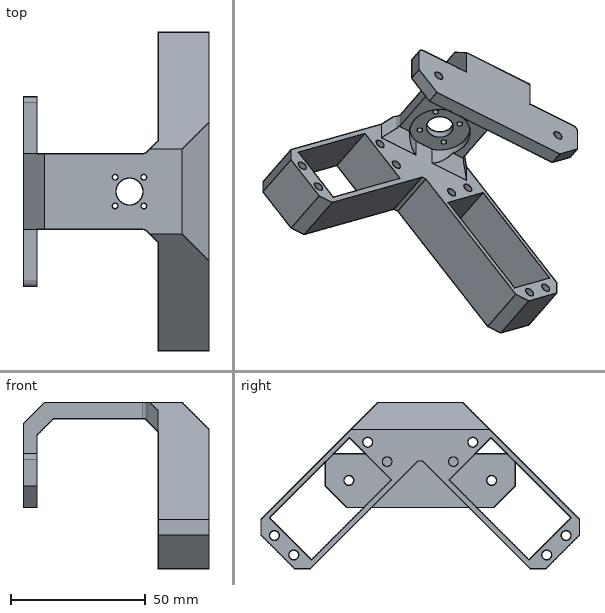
import cadquery as cq

length = 69.0
width = 118.5
height = 61.8

roof_thickness = 6.2
roof_half_width = 14.1
plate_thickness = 5.1
plate_half_width = 35.3
plate_height = 39.1
wing_top = -19.1
wing_corner_radius = 2.1
wing_chamfer = 7.9
front_bevel = 7.9
inner_bevel = 6.0
plate_hole_y = 26.5
plate_hole_z = -29.0

arm_depth = 19.0
arm_front = length - arm_depth
arm_top_half_width = 15.8
foot_outer_y = 46.7
foot_inner_y = 40.9
crotch_z = -21.8
rear_bevel = 10.1
screw_diameter = 3.5

arm_angle = 45
window_start = 28.0
window_length = 41.9
window_width = 22.0
arm_axis_d = -1.8
screw_half_pitch = 5.1
screw_rows = (24.3, 73.3)

gusset = 4.9
gusset_start = arm_front - gusset
gusset_radius = 2.4

motor_x = 39.5
motor_hole_diameter = 10.0
motor_screw_diameter = 2.0
motor_screw_offset = 5.3
motor_recess_diameter = 22.5
motor_floor = 3.1


def mirrored(points):
    """Close a +Y half outline with its mirror image in Y = 0."""
    return points + [(-y, z) for y, z in reversed(points)]


def yz_solid(points, x_start, depth):
    """Extrude a closed (y, z) outline along +X."""
    return cq.Workplane("YZ", origin=(x_start, 0, 0)).polyline(points).close().extrude(depth)


def make_arms(x_start):
    """Prism of the arm outline from x_start to the rear face."""
    half_width = width / 2
    shoulder_z = arm_top_half_width - half_width
    lower_corner_z = -height + half_width - foot_outer_y
    crotch_y = foot_inner_y - (height + crotch_z)
    outline = mirrored([
        (arm_top_half_width, 0),
        (half_width, shoulder_z),
        (half_width, lower_corner_z),
        (foot_outer_y, -height),
        (foot_inner_y, -height),
        (crotch_y, crotch_z),
    ])
    return yz_solid(outline, x_start, length - x_start)


def make_roof():
    """Bent strip: bevelled front, flat roof and bevelled underside meeting the arms."""
    profile = [
        (0, -plate_height),
        (0, -front_bevel),
        (front_bevel, 0),
        (arm_front, 0),
        (arm_front, -roof_thickness - gusset),
        (gusset_start, -roof_thickness),
        (plate_thickness + inner_bevel, -roof_thickness),
        (plate_thickness, -roof_thickness - inner_bevel),
        (plate_thickness, -plate_height),
    ]
    wide = roof_half_width + gusset
    strip = cq.Workplane("XZ", origin=(0, wide, 0)).polyline(profile).close().extrude(2 * wide)
    envelope = make_arms(gusset_start - gusset_radius).union(front_block())
    return strip.intersect(roof_plan()).intersect(envelope)


def roof_plan():
    """Plan outline of the roof, flaring at 45 degrees into the arms."""
    wide = roof_half_width + gusset
    plan = (
        cq.Workplane("XY", origin=(0, 0, -height))
        .polyline([
            (0, -roof_half_width),
            (gusset_start, -roof_half_width),
            (arm_front, -wide),
            (arm_front, wide),
            (gusset_start, roof_half_width),
            (0, roof_half_width),
        ])
        .close()
        .extrude(height)
    )
    flare_edges = cq.selectors.BoxSelector(
        (gusset_start - gusset, -wide, -height), (gusset_start + gusset / 2, wide, height)
    )
    return plan.edges("|Z").edges(flare_edges).fillet(gusset_radius)


def front_block():
    """Full-height block as wide as the roof, from the front plate to the arms."""
    return (
        cq.Workplane("XY", origin=(0, 0, -height))
        .box(arm_front, 2 * roof_half_width, height, centered=(False, True, False))
    )


def make_wings():
    """Wide lower part of the front plate with two mounting holes."""
    wings = yz_solid(
        mirrored([
            (plate_half_width, wing_top),
            (plate_half_width, wing_chamfer - plate_height),
            (plate_half_width - wing_chamfer, -plate_height),
        ]),
        0,
        plate_thickness,
    )
    top_corners = cq.selectors.BoxSelector(
        (0, -width, wing_top - wing_corner_radius), (length, width, 0)
    )
    wings = wings.edges("|X").edges(top_corners).fillet(wing_corner_radius)
    holes = (
        cq.Workplane("YZ")
        .pushPoints([(-plate_hole_y, plate_hole_z), (plate_hole_y, plate_hole_z)])
        .circle(screw_diameter / 2)
        .extrude(plate_thickness)
    )
    return wings.cut(holes)


def arm_cutouts():
    """Window and four screw holes of the +Y arm, passing through along X."""
    plane = cq.Workplane("YZ", origin=(arm_front, 0, 0))
    window = (
        plane.center(window_start + window_length / 2, arm_axis_d)
        .rect(window_length, window_width)
        .extrude(arm_depth)
    )
    screws = [
        (row, arm_axis_d + side * screw_half_pitch)
        for row in screw_rows
        for side in (-1, 1)
    ]
    holes = plane.pushPoints(screws).circle(screw_diameter / 2).extrude(arm_depth)
    return window.union(holes).rotate((0, 0, 0), (1, 0, 0), -arm_angle)


def rear_bevel_cutter():
    """Wedge that bevels the top rear edge of the arms."""
    return (
        cq.Workplane("XZ", origin=(0, width / 2, 0))
        .polyline([(length - rear_bevel, 0), (length, 0), (length, -rear_bevel)])
        .close()
        .extrude(width)
    )


def motor_holes():
    """Shaft hole, four screw holes and the motor recess under the roof."""
    plane = cq.Workplane("XY").center(motor_x, 0)
    screw_pitch = 2 * motor_screw_offset
    bore = plane.circle(motor_hole_diameter / 2).extrude(-height)
    screws = (
        plane.rect(screw_pitch, screw_pitch, forConstruction=True)
        .vertices()
        .circle(motor_screw_diameter / 2)
        .extrude(-height)
    )
    recess_depth = roof_thickness + gusset - motor_floor
    recess = (
        cq.Workplane("XY", origin=(motor_x, 0, -motor_floor))
        .circle(motor_recess_diameter / 2)
        .extrude(-recess_depth)
    )
    return bore.union(screws).union(recess)


cutouts = arm_cutouts()
arms = make_arms(arm_front).cut(rear_bevel_cutter())
arms = arms.cut(cutouts).cut(cutouts.mirror("XZ"))
roof = make_roof().cut(motor_holes())
result = arms.union(roof).union(make_wings())